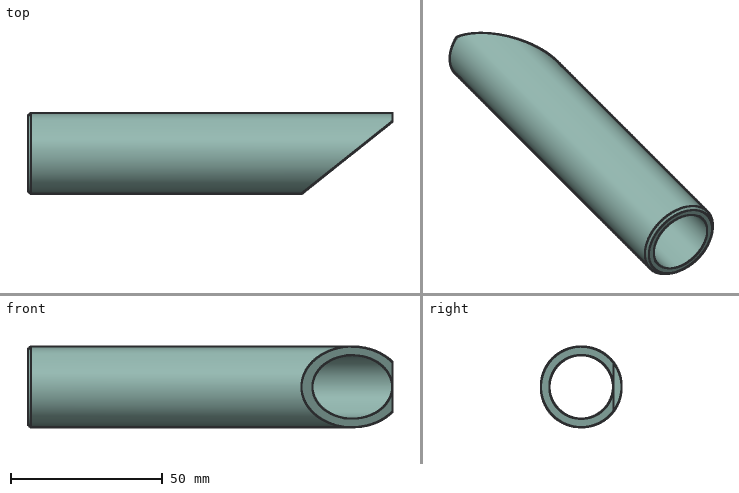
import cadquery as cq

length = 120.0
outer_diameter = 26.6
bore_diameter = 20.9
chamfer = 1.0
short_side_length = 90.0

outer_radius = outer_diameter / 2
bore_radius = bore_diameter / 2
end_land_offset = 0.1
cut_end_y = bore_radius + end_land_offset
cutter_margin = 6.0


def make_tube():
    """Round tube with an outer chamfer on its starting end."""
    rod = cq.Workplane("YZ").circle(outer_radius).extrude(length)
    rod = rod.faces("<X").edges().chamfer(chamfer)
    bore = cq.Workplane("YZ").circle(bore_radius).extrude(length)
    return rod.cut(bore)


def make_oblique_cutter():
    """Triangular prism that removes the -Y corner of the far end."""
    cut_slope = (length - short_side_length) / (cut_end_y + outer_radius)
    return (
        cq.Workplane("XY")
        .moveTo(short_side_length - cutter_margin * cut_slope, -outer_radius - cutter_margin)
        .lineTo(length + cutter_margin * cut_slope, cut_end_y + cutter_margin)
        .lineTo(length + cutter_margin * cut_slope, -outer_radius - cutter_margin)
        .close()
        .extrude(outer_radius + cutter_margin, both=True)
    )


result = make_tube().cut(make_oblique_cutter())